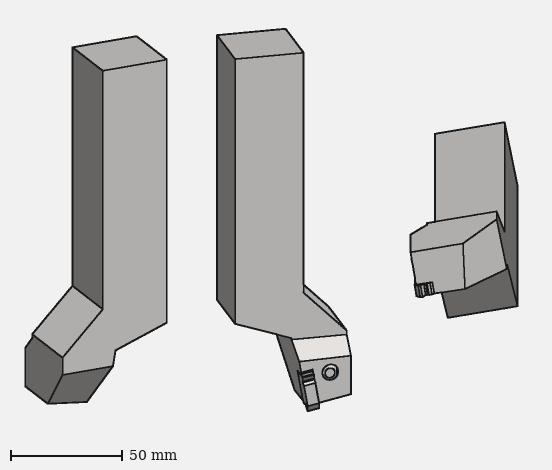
import cadquery as cq
import math

TOTAL_HEIGHT = 169.7
SHANK_SIZE = 31.9
NECK_OFFSET = 20.0
NECK_TOP_Z = 34.5
SHANK_HEEL_Z = 42.6
UNDERSIDE_ANGLE = 19.6
UNDERSIDE_END_Y = 24.6

LEFT_SLOPE_TOP_Z = 32.5
RIGHT_SLOPE_TOP_Z = 26.1
RIGHT_SLOPE_ANGLE = 38.3
HEAD_LEFT_REACH = 44.1

RAKE_ANGLE = 10
HELIX_ANGLE = 1
TIP_X = -38.0
TIP_Y = 19.9
HEAD_LEFT_U = -1.7
HEAD_BOTTOM_V = 3.0
TRIM_LENGTH = 84.8

INSERT_THICKNESS = 5.5
INSERT_LEFT_U = -2.4
INSERT_RIGHT_U = 5.8
INSERT_TOP_V = 17.8
TIP_HALF_WIDTH = 0.5
GAP_ROOF_RUN = 3.0
GAP_HEIGHT = 2.4

BOSS_ROOT_DIAMETER = 8.0
BOSS_TOP_DIAMETER = 4.5
BOSS_HEIGHT = 0.8
BOSS_ROOT_DEPTH = 0.2
BOSS_TILT = 2
BOSS_Y = 10.0
BOSS_Z = 18.2

NECK_SLOPE_TOP_Z = NECK_TOP_Z + NECK_OFFSET
SHANK_REAR_Y = NECK_OFFSET + SHANK_SIZE
UNDERSIDE_END_Z = SHANK_HEEL_Z - (SHANK_REAR_Y - UNDERSIDE_END_Y) * math.tan(math.radians(UNDERSIDE_ANGLE))

rake = math.radians(RAKE_ANGLE)
helix = math.radians(HELIX_ANGLE)
INSERT_PLANE = cq.Plane(
    origin=(TIP_X, TIP_Y, 0),
    xDir=(math.cos(helix), math.sin(helix), 0),
    normal=(math.sin(helix) * math.cos(rake), -math.cos(helix) * math.cos(rake), math.sin(rake)),
)


def make_shank():
    """Square bar and its sloped neck, one profile extruded across the width."""
    profile = [
        (0, UNDERSIDE_END_Z),
        (0, NECK_TOP_Z),
        (NECK_OFFSET, NECK_SLOPE_TOP_Z),
        (NECK_OFFSET, TOTAL_HEIGHT),
        (SHANK_REAR_Y, TOTAL_HEIGHT),
        (SHANK_REAR_Y, SHANK_HEEL_Z),
        (UNDERSIDE_END_Y, UNDERSIDE_END_Z),
    ]
    return cq.Workplane("YZ").polyline(profile).close().extrude(-SHANK_SIZE)


def make_head():
    """Sloped outline, with left, bottom and rear faces square to the insert frame."""
    left_slope_bottom_z = LEFT_SLOPE_TOP_Z - (HEAD_LEFT_REACH - SHANK_SIZE)
    right_slope_run = RIGHT_SLOPE_TOP_Z * math.tan(math.radians(RIGHT_SLOPE_ANGLE))
    outline = [
        (0, NECK_TOP_Z),
        (0, RIGHT_SLOPE_TOP_Z),
        (-right_slope_run, 0),
        (-HEAD_LEFT_REACH, 0),
        (-HEAD_LEFT_REACH, left_slope_bottom_z),
        (-SHANK_SIZE, LEFT_SLOPE_TOP_Z),
        (-SHANK_SIZE, NECK_TOP_Z),
    ]
    block = cq.Workplane("XZ").polyline(outline).close().extrude(-SHANK_REAR_Y)
    trim = (
        cq.Workplane(INSERT_PLANE)
        .moveTo(HEAD_LEFT_U, HEAD_BOTTOM_V)
        .rect(TRIM_LENGTH, TRIM_LENGTH, centered=False)
        .extrude(TRIM_LENGTH)
    )
    return block.intersect(trim)


def make_boss():
    """Slightly tilted conical boss standing on the left face."""
    tilt = math.radians(BOSS_TILT)
    face_x = TIP_X + HEAD_LEFT_U / math.cos(helix) + (TIP_Y - BOSS_Y) * math.tan(helix)
    boss_plane = cq.Plane(
        origin=(face_x, BOSS_Y, BOSS_Z),
        xDir=(0, 0, 1),
        normal=(-math.cos(tilt), math.sin(tilt), 0),
    )
    return (
        cq.Workplane(boss_plane)
        .workplane(offset=-BOSS_ROOT_DEPTH)
        .circle(BOSS_ROOT_DIAMETER / 2)
        .workplane(offset=BOSS_ROOT_DEPTH + BOSS_HEIGHT)
        .circle(BOSS_TOP_DIAMETER / 2)
        .loft()
    )


def make_insert():
    """Flat threading insert with a pointed tip, a small crest tooth and an upper tooth."""
    outline = [
        (-TIP_HALF_WIDTH, 0),
        (TIP_HALF_WIDTH, 0),
        (1.9, 2.5),
        (2.7, 2.5),
        (3.4, 2.0),
        (4.8, 2.0),
        (INSERT_RIGHT_U, HEAD_BOTTOM_V),
        (INSERT_RIGHT_U, INSERT_TOP_V),
        (INSERT_LEFT_U, INSERT_TOP_V),
        (INSERT_LEFT_U, 17.3),
        (-1.0, 15.0),
        (-1.0, 14.5),
        (INSERT_LEFT_U, 13.2),
        (INSERT_LEFT_U, 3.2),
    ]
    return cq.Workplane(INSERT_PLANE).polyline(outline).close().extrude(INSERT_THICKNESS)


def make_pocket():
    """Seat cut through the left and bottom faces, with a slanted gap above the upper tooth."""
    outline = [
        (INSERT_RIGHT_U, 0),
        (INSERT_RIGHT_U, INSERT_TOP_V),
        (INSERT_LEFT_U + GAP_ROOF_RUN, INSERT_TOP_V),
        (INSERT_LEFT_U, INSERT_TOP_V + GAP_HEIGHT),
        (INSERT_LEFT_U, 0),
    ]
    return cq.Workplane(INSERT_PLANE).polyline(outline).close().extrude(INSERT_THICKNESS)


holder = make_shank().union(make_head()).cut(make_pocket()).union(make_boss())
insert = make_insert()

result = cq.Compound.makeCompound([holder.val(), insert.val()])